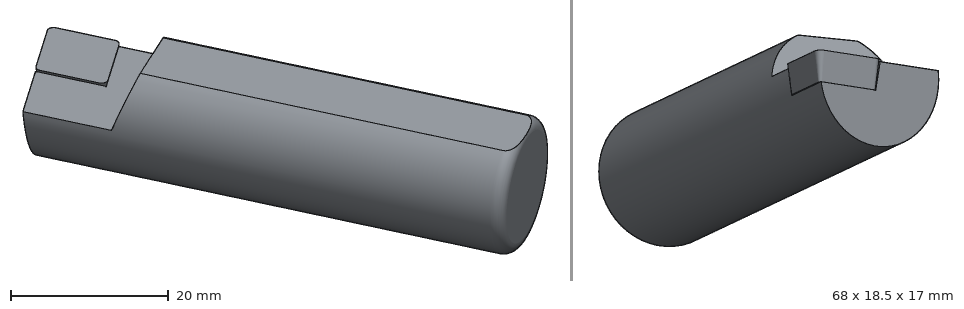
import cadquery as cq
import math

tool_length = 68.0
shank_radius = 9.01
flat_height = 7.99
end_fillet = 1.6

floor_height = 1.7
step_start = 15.1
step_top = 17.3

insert_top = 2.05
insert_thickness = 4.0
inscribed_circle = 9.5
insert_overhang = 0.5
nose_radius = 0.8
lead_angle = 10.0
clearance_angle = 7.0

cut_margin = 3.4

lead_slope = math.tan(math.radians(lead_angle))
lead_cosine = math.cos(math.radians(lead_angle))
insert_back = shank_radius + insert_overhang
insert_front = insert_back - inscribed_circle
insert_width = inscribed_circle / lead_cosine
sharp_corner_x = nose_radius * (1 - 1 / lead_cosine - lead_slope)


def lead_edge_x(y):
    """X of the insert's leading edge, in its top plane, at a given Y."""
    return sharp_corner_x + (insert_back - y) * lead_slope


def rhombus_sketch(x_shift, width, front, back):
    """Parallelogram whose slanted sides run along the insert's leading edge."""
    front_x = lead_edge_x(front) + x_shift
    back_x = lead_edge_x(back) + x_shift
    corners = [(front_x, front), (front_x + width, front), (back_x + width, back), (back_x, back)]
    return cq.Sketch().polygon([*corners, corners[0]])


def tapered_block(sketch):
    """Prism below the insert's top plane, narrowing downward."""
    return (
        cq.Workplane("XY", origin=(0, 0, insert_top))
        .placeSketch(sketch)
        .extrude(-insert_thickness, taper=clearance_angle)
    )


def make_insert():
    """The nose radii shrink toward the bottom along with the leaning sides."""
    outline = rhombus_sketch(0, insert_width, insert_front, insert_back)
    return tapered_block(outline.vertices().fillet(nose_radius))


def make_bar():
    bar = (
        cq.Workplane("YZ")
        .circle(shank_radius)
        .extrude(tool_length)
        .faces(">X")
        .edges()
        .fillet(end_fillet)
    )
    above_flat = (
        cq.Workplane("XY", origin=(0, 0, flat_height))
        .rect(2 * (tool_length + cut_margin), 2 * (shank_radius + cut_margin))
        .extrude(shank_radius)
    )
    return bar.cut(above_flat)


def make_head_clearance():
    return (
        cq.Workplane("XZ")
        .moveTo(-cut_margin, floor_height)
        .lineTo(step_start, floor_height)
        .lineTo(step_top, flat_height)
        .lineTo(step_top, shank_radius)
        .lineTo(-cut_margin, shank_radius)
        .close()
        .extrude(shank_radius + cut_margin, both=True)
    )


def make_front_relief():
    """Everything ahead of the leaning plane that holds the insert's leading face."""
    lead = math.radians(lead_angle)
    clearance = math.radians(clearance_angle)
    normal = (
        -math.cos(lead) * math.cos(clearance),
        -math.sin(lead) * math.cos(clearance),
        -math.sin(clearance),
    )
    plane = cq.Plane(origin=(lead_edge_x(0), 0, insert_top), xDir=(0, 0, 1), normal=normal)
    return cq.Workplane(plane).circle(tool_length).extrude(tool_length)


def make_pocket():
    """Sharp-cornered seat, open toward the front face and the +Y side."""
    outline = rhombus_sketch(
        -cut_margin, insert_width + cut_margin, insert_front, insert_back + cut_margin
    )
    return tapered_block(outline)


holder = make_bar().cut(make_head_clearance()).cut(make_front_relief()).cut(make_pocket())
insert = make_insert()

result = cq.Compound.makeCompound([holder.val(), insert.val()])